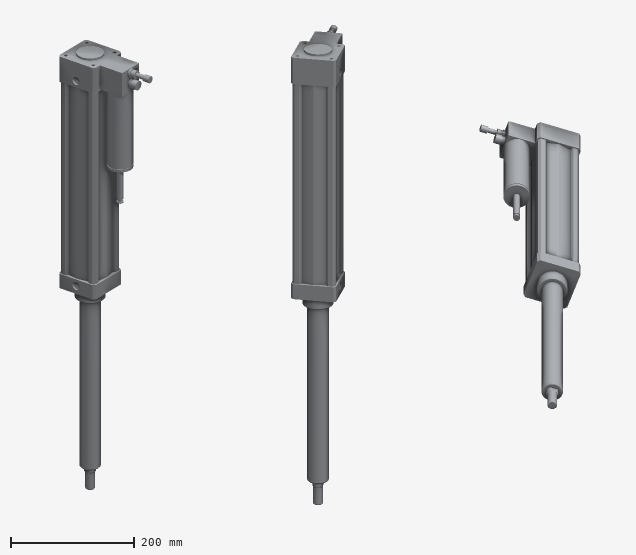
import cadquery as cq
import math

TOTAL_HEIGHT = 794.0
LID_THICKNESS = 3.0
HEAD_HEIGHT = 46.0
GEARBOX_HEIGHT = 44.0
CAP_TOP_Z = 395.5
CAP_HEIGHT = 26.0
COLLAR_HEIGHT = 21.0

HEAD_TOP_Z = TOTAL_HEIGHT - LID_THICKNESS
HEAD_BOTTOM_Z = HEAD_TOP_Z - HEAD_HEIGHT
GEARBOX_BOTTOM_Z = HEAD_TOP_Z - GEARBOX_HEIGHT
CAP_BOTTOM_Z = CAP_TOP_Z - CAP_HEIGHT
COLLAR_BOTTOM_Z = CAP_BOTTOM_Z - COLLAR_HEIGHT

BLOCK_SIDE = 75.0
BLOCK_CHAMFER = 4.0
LID_DIAMETER = 45.0
COLLAR_DIAMETER = 50.0
COLLAR_CHAMFER = 1.5

BARREL_SIDE = 71.0
BARREL_CHAMFER = 4.0
CHANNEL_HALF_WIDTH = 24.0
VALLEY_OFFSET = 20.0
VALLEY_DEPTH = 5.0
RIDGE_DEPTH = 1.0

BOLT_HOLE_DIAMETER = 6.0
BOLT_HOLE_DEPTH = 8.0
BOLT_SPACING = 56.0

PORT_DIAMETER = 14.0
PORT_DEPTH = 3.0
PORT_POINT_DEPTH = 4.0
HEAD_PORT_Z = 757.0
CAP_PORT_Z = 383.5

MOTOR_DIAMETER = 43.0
MOTOR_CENTRE_X = 61.0
MOTOR_BOTTOM_Z = 605.0
MOTOR_GROOVE_HEIGHT = 1.5
MOTOR_GROOVE_DIAMETER = 41.0
MOTOR_END_THICKNESS = 5.0
SHAFT_DIAMETER = 11.0
SHAFT_BOTTOM_Z = 540.0
SHAFT_GROOVE_DIAMETER = 8.0
SHAFT_GROOVE_HEIGHT = 5.0
SHAFT_TIP_HEIGHT = 2.0

GEARBOX_WIDTH = 45.0
GEARBOX_RIGHT_X = MOTOR_CENTRE_X + MOTOR_DIAMETER / 2

PLUG_CONNECTOR_Z = 782.0
PLUG_CONNECTOR_STEPS = [(16.0, 4.0), (13.0, 4.0), (14.0, 5.0), (8.0, 16.0), (12.0, 12.0)]
SOCKET_CONNECTOR_Z = 764.0
SOCKET_CONNECTOR_STEPS = [(14.0, 3.0), (13.0, 2.0), (16.0, 10.0)]

ROD_DIAMETER = 35.0
ROD_SHOULDER_Z = 40.5
ROD_SHOULDER_CHAMFER = 2.0
NECK_DIAMETER = 20.0
NECK_BOTTOM_Z = 31.0
NECK_CHAMFER = 2.0
NECK_FLATS_WIDTH = 16.0
TIP_DIAMETER = 16.0
TIP_CHAMFER = 1.5


def cylinder(diameter, bottom_z, top_z, x=0):
    """Upright cylinder between two levels."""
    return (
        cq.Workplane("XY", origin=(x, 0, bottom_z))
        .circle(diameter / 2)
        .extrude(top_z - bottom_z)
    )


def chamfered_block(bottom_z, top_z):
    """Square end block with its four upright corners chamfered."""
    return (
        cq.Workplane("XY", origin=(0, 0, bottom_z))
        .rect(BLOCK_SIDE, BLOCK_SIDE)
        .extrude(top_z - bottom_z)
        .edges("|Z")
        .chamfer(BLOCK_CHAMFER)
    )


def barrel_outline():
    """Closed outline of the barrel: four equal faces, each a channel with a low ridge in its middle."""
    half = BARREL_SIDE / 2
    corner = half - BARREL_CHAMFER
    front_face = [
        (-corner, -half),
        (-CHANNEL_HALF_WIDTH, -half),
        (-VALLEY_OFFSET, -half + VALLEY_DEPTH),
        (0, -half + RIDGE_DEPTH),
        (VALLEY_OFFSET, -half + VALLEY_DEPTH),
        (CHANNEL_HALF_WIDTH, -half),
        (corner, -half),
    ]
    points = []
    for quarter in range(4):
        turn = quarter * math.pi / 2
        for x, y in front_face:
            turned_x = x * math.cos(turn) - y * math.sin(turn)
            turned_y = x * math.sin(turn) + y * math.cos(turn)
            points.append((turned_x, turned_y))
    return points


def barrel():
    """Long profile between the head and the front cap."""
    return (
        cq.Workplane("XY", origin=(0, 0, CAP_TOP_Z))
        .polyline(barrel_outline())
        .close()
        .extrude(HEAD_BOTTOM_Z - CAP_TOP_Z)
    )


def gearbox():
    """Box that reaches from inside the head out over the motor."""
    return cq.Workplane("XY", origin=(0, 0, GEARBOX_BOTTOM_Z)).box(
        GEARBOX_RIGHT_X, GEARBOX_WIDTH, GEARBOX_HEIGHT, centered=(False, True, False))


def connector(steps, z):
    """Stepped round connector that points along +X from the end of the gearbox."""
    body = cq.Workplane("XY")
    x = GEARBOX_RIGHT_X
    for diameter, length in steps:
        body = body.union(
            cq.Workplane("YZ", origin=(x, 0, z)).circle(diameter / 2).extrude(length)
        )
        x += length
    return body


def port(z):
    """Drilled port with a conical bottom, entering from the -Y side."""
    radius = PORT_DIAMETER / 2
    return (
        cq.Workplane("XY", origin=(0, -BLOCK_SIDE / 2, z))
        .polyline([(0, 0), (radius, 0), (radius, PORT_DEPTH), (0, PORT_DEPTH + PORT_POINT_DEPTH)])
        .close()
        .revolve(360, (0, 0, 0), (0, 1, 0))
    )


def make_housing():
    """Head, gearbox, barrel, front cap and collar with their ports, bolt holes and connectors."""
    collar = cylinder(COLLAR_DIAMETER, COLLAR_BOTTOM_Z, CAP_BOTTOM_Z).faces("<Z").chamfer(COLLAR_CHAMFER)
    body = (
        chamfered_block(HEAD_BOTTOM_Z, HEAD_TOP_Z)
        .union(gearbox())
        .union(cylinder(LID_DIAMETER, HEAD_TOP_Z, TOTAL_HEIGHT))
        .union(barrel())
        .union(chamfered_block(CAP_BOTTOM_Z, CAP_TOP_Z))
        .union(collar)
        .union(connector(PLUG_CONNECTOR_STEPS, PLUG_CONNECTOR_Z))
        .union(connector(SOCKET_CONNECTOR_STEPS, SOCKET_CONNECTOR_Z))
    )
    bolt_holes = (
        cq.Workplane("XY", origin=(0, 0, HEAD_TOP_Z))
        .rect(BOLT_SPACING, BOLT_SPACING, forConstruction=True)
        .vertices()
        .circle(BOLT_HOLE_DIAMETER / 2)
        .extrude(-BOLT_HOLE_DEPTH)
    )
    rod_bore = cylinder(ROD_DIAMETER, COLLAR_BOTTOM_Z, CAP_TOP_Z)
    return body.cut(bolt_holes).cut(port(HEAD_PORT_Z)).cut(port(CAP_PORT_Z)).cut(rod_bore)


def make_motor():
    """Round motor under the gearbox, with a grooved shaft out of its lower end."""
    groove_bottom_z = MOTOR_BOTTOM_Z + MOTOR_END_THICKNESS
    groove_top_z = groove_bottom_z + MOTOR_GROOVE_HEIGHT
    shaft_groove_bottom_z = SHAFT_BOTTOM_Z + SHAFT_TIP_HEIGHT
    shaft_groove_top_z = shaft_groove_bottom_z + SHAFT_GROOVE_HEIGHT
    sections = [
        (MOTOR_DIAMETER, groove_top_z, GEARBOX_BOTTOM_Z),
        (MOTOR_GROOVE_DIAMETER, groove_bottom_z, groove_top_z),
        (MOTOR_DIAMETER, MOTOR_BOTTOM_Z, groove_bottom_z),
        (SHAFT_DIAMETER, shaft_groove_top_z, MOTOR_BOTTOM_Z),
        (SHAFT_GROOVE_DIAMETER, shaft_groove_bottom_z, shaft_groove_top_z),
        (SHAFT_DIAMETER, SHAFT_BOTTOM_Z, shaft_groove_bottom_z),
    ]
    body = cq.Workplane("XY")
    for diameter, bottom_z, top_z in sections:
        body = body.union(cylinder(diameter, bottom_z, top_z, MOTOR_CENTRE_X))
    return body


def make_rod():
    """Rod that slides in the front cap, with a two-flat neck and a thinner tip at its lower end."""
    tube = cylinder(ROD_DIAMETER, ROD_SHOULDER_Z, CAP_TOP_Z).faces("<Z").chamfer(ROD_SHOULDER_CHAMFER)
    flats = cq.Workplane("XY").box(
        NECK_DIAMETER, NECK_FLATS_WIDTH, ROD_SHOULDER_Z, centered=(True, True, False))
    neck = (
        cylinder(NECK_DIAMETER, NECK_BOTTOM_Z, ROD_SHOULDER_Z)
        .faces("<Z")
        .chamfer(NECK_CHAMFER)
        .intersect(flats)
    )
    tip = cylinder(TIP_DIAMETER, 0, NECK_BOTTOM_Z).faces("<Z").chamfer(TIP_CHAMFER)
    return tube.union(neck).union(tip)


housing = make_housing()
motor = make_motor()
rod = make_rod()

result = cq.Compound.makeCompound([housing.val(), motor.val(), rod.val()])